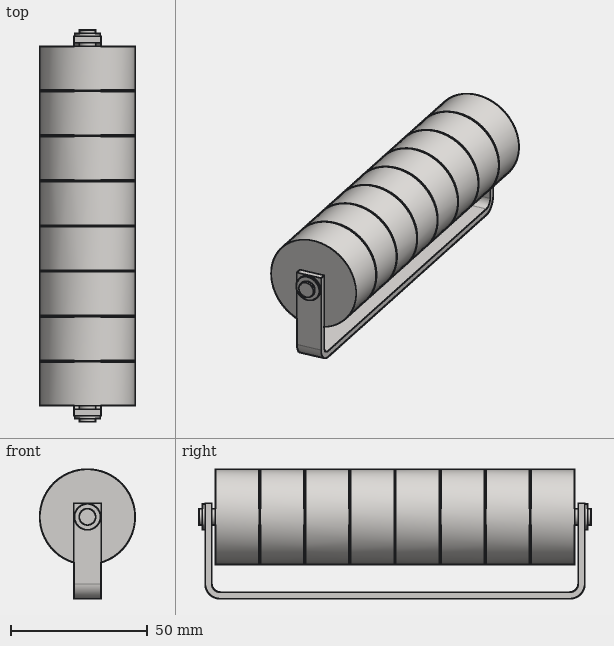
import cadquery as cq

roller_diameter = 35.0
roller_width = 16.0
roller_gap = 0.5
roller_count = 8
axle_diameter = 6.0
axle_length = 143.5

strap_width = 10.0
strap_thickness = 2.5
bracket_length = 139.0
axle_to_bracket_top = 5.0
axle_to_bracket_bottom = 30.0
bend_inner_radius = 3.0

washer_diameter = 9.5
washer_thickness = 1.0

roller_pitch = roller_width + roller_gap
roller_row_length = roller_count * roller_pitch - roller_gap


def cylinder_along_y(diameter, length, y_start):
    """Solid cylinder on the axle line, running from y_start towards +Y."""
    start_plane = cq.Workplane("XZ", origin=(0, y_start, 0))
    return start_plane.circle(diameter / 2).extrude(-length)


def make_bracket():
    """Strap bent into a U: the outer block less its inner opening, with rounded bends."""
    inner_length = bracket_length - 2 * strap_thickness
    height = axle_to_bracket_top + axle_to_bracket_bottom
    outer = (
        cq.Workplane("XY", origin=(0, 0, -axle_to_bracket_bottom))
        .box(strap_width, bracket_length, height, centered=(True, True, False))
        .edges("|X and <Z")
        .fillet(bend_inner_radius + strap_thickness)
    )
    opening = (
        cq.Workplane("XY", origin=(0, 0, strap_thickness - axle_to_bracket_bottom))
        .box(strap_width, inner_length, height, centered=(True, True, False))
        .edges("|X and <Z")
        .fillet(bend_inner_radius)
    )
    return outer.cut(opening)


def make_rollers():
    rollers = cq.Workplane("XY")
    for index in range(roller_count):
        y_start = index * roller_pitch - roller_row_length / 2
        rollers = rollers.add(cylinder_along_y(roller_diameter, roller_width, y_start))
    return rollers


def make_washers():
    near_washer = cylinder_along_y(washer_diameter, washer_thickness, -bracket_length / 2 - washer_thickness)
    far_washer = cylinder_along_y(washer_diameter, washer_thickness, bracket_length / 2)
    return near_washer.add(far_washer)


result = cylinder_along_y(axle_diameter, axle_length, -axle_length / 2)
result = result.union(make_bracket())
for piece in make_rollers().vals() + make_washers().vals():
    result = result.union(cq.Workplane(piece))